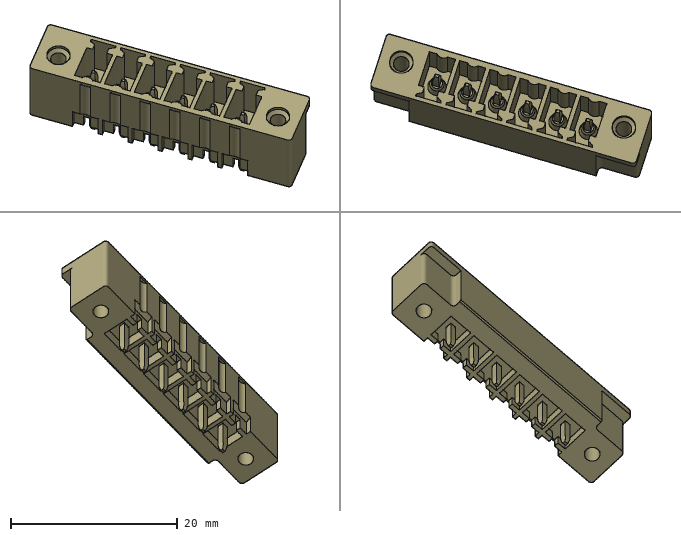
import cadquery as cq
import math


CONTACT_COUNT = 6
PITCH = 3.8
CONTACT_Y = 2.98
CONTACT_X = [(i - (CONTACT_COUNT - 1) / 2) * PITCH for i in range(CONTACT_COUNT)]

LENGTH = 33.45
DEPTH = 7.05
HEIGHT = 9.2
CORNER_RADIUS = 0.45

FLANGE_THICKNESS = 1.27
RELIEF_DEPTH = 1.27
RELIEF_RADIUS = 0.5
REAR_HALF_WIDTH = 11.77
REAR_CHAMFER = 0.2

POCKET_WIDTH = 3.28
POCKET_FLOOR = 3.68
FRONT_WALL = 0.75
REAR_WALL = 0.5
SHOULDER_Y = 5.2
NECK_WIDTH = 1.8
NECK_END_Y = 5.92
KEY_WIDTH = 3.15
KEY_START_Y = 6.32
POST_RADIUS = 0.07

GROOVE_WIDTH = 1.35
GROOVE_DEPTH = 0.3
GROOVE_TOP_GAP = 0.5

NOTCH_WIDTH = 3.28
NOTCH_DEPTH = 0.65
NOTCH_FRONT_HEIGHT = 2.9
NOTCH_REAR_HEIGHT = 2.37
SLOT_WIDTH = 0.9
SLOT_HEIGHT = 1.7
SLOT_WALL = 0.6

COLLAR_BASE_RADIUS = 1.1
COLLAR_SHOULDER_RADIUS = 0.87
COLLAR_TOP_RADIUS = 0.67
COLLAR_SHOULDER_HEIGHT = 1.0
COLLAR_HEIGHT = 1.35

SCREW_X = 14.0
SCREW_RADIUS = 0.95
COUNTERBORE_RADIUS = 1.4
COUNTERBORE_DEPTH = 0.4
COUNTERSINK_DEPTH = 0.37

PIN_WIDTH = 0.8
PIN_BOTTOM = -3.2
PIN_TOP = 7.83
TIP_WIDTH = 0.45
TIP_DEPTH = 0.35
TIP_LENGTH = 1.15


def box(x_min, x_max, y_min, y_max, z_min, z_max):
    """Block between the given limits."""
    size = (x_max - x_min, y_max - y_min, z_max - z_min)
    return cq.Workplane("XY").box(*size, centered=False).translate((x_min, y_min, z_min))


def arched_bar(x, y, z_min, z_max):
    """Upright bar, flat on its front face at y and arched toward the rear."""
    half = GROOVE_WIDTH / 2
    return (
        cq.Workplane("XY", origin=(x, y, z_min))
        .moveTo(-half, 0)
        .threePointArc((0, GROOVE_DEPTH), (half, 0))
        .close()
        .extrude(z_max - z_min)
    )


def housing_block():
    """Outer block with rounded upright corners, reliefs and a chamfered lower rear edge."""
    block = box(-LENGTH / 2, LENGTH / 2, 0, DEPTH, 0, HEIGHT)
    block = block.edges("|Z").fillet(CORNER_RADIUS)
    for side in (-1, 1):
        block = block.cut(end_relief(side))
    return block.faces("<Z").edges(">Y").chamfer(REAR_CHAMFER)


def end_relief(side):
    """Space behind one end, blended into the end wall and the rear section."""
    rear_face = DEPTH - RELIEF_DEPTH
    outer = LENGTH / 2
    radius = RELIEF_RADIUS
    bend = radius * math.sqrt(0.5)
    beyond = LENGTH / 2 + radius
    relief = (
        cq.Workplane("XY")
        .moveTo(REAR_HALF_WIDTH, DEPTH + radius)
        .lineTo(REAR_HALF_WIDTH, rear_face + radius)
        .threePointArc(
            (REAR_HALF_WIDTH + radius - bend, rear_face + radius - bend),
            (REAR_HALF_WIDTH + radius, rear_face),
        )
        .lineTo(outer - radius, rear_face)
        .threePointArc(
            (outer - radius + bend, rear_face - radius + bend),
            (outer, rear_face - radius),
        )
        .lineTo(beyond, rear_face - radius)
        .lineTo(beyond, DEPTH + radius)
        .close()
        .extrude(HEIGHT - FLANGE_THICKNESS)
    )
    return relief if side > 0 else relief.mirror("YZ")


def pocket(x):
    """Plug pocket: a wide front part, a neck, and a flared key space at the rear."""
    key_rear = DEPTH - REAR_WALL
    right_side = [
        (POCKET_WIDTH / 2, FRONT_WALL),
        (POCKET_WIDTH / 2, SHOULDER_Y),
        (NECK_WIDTH / 2, SHOULDER_Y),
        (NECK_WIDTH / 2, NECK_END_Y),
        (KEY_WIDTH / 2, KEY_START_Y),
        (KEY_WIDTH / 2, key_rear),
    ]
    left_side = [(-px, py) for px, py in reversed(right_side)]
    space = (
        cq.Workplane("XY", origin=(0, 0, POCKET_FLOOR))
        .polyline(right_side + left_side)
        .close()
        .extrude(HEIGHT - POCKET_FLOOR)
    )
    neck_edges = cq.selectors.BoxSelector(
        (-NECK_WIDTH, SHOULDER_Y - POST_RADIUS, 0),
        (NECK_WIDTH, NECK_END_Y + POST_RADIUS, 2 * HEIGHT),
    )
    space = space.edges("|Z").edges(neck_edges).fillet(POST_RADIUS)
    space = space.translate((x, 0, 0))
    return space.cut(arched_bar(x, FRONT_WALL, POCKET_FLOOR, HEIGHT))


def collar(x):
    """Tapered collar that surrounds a pin on the pocket floor."""
    return (
        cq.Workplane("XZ")
        .polyline(
            [
                (0, 0),
                (COLLAR_BASE_RADIUS, 0),
                (COLLAR_SHOULDER_RADIUS, COLLAR_SHOULDER_HEIGHT),
                (COLLAR_TOP_RADIUS, COLLAR_HEIGHT),
                (0, COLLAR_HEIGHT),
            ]
        )
        .close()
        .revolve(360, (0, 0), (0, 1))
        .translate((x, CONTACT_Y, POCKET_FLOOR))
    )


def solder_notch(x):
    """Notch in the lower front edge, with a ceiling that slopes down to the rear."""
    return (
        cq.Workplane("YZ", origin=(x - NOTCH_WIDTH / 2, 0, 0))
        .polyline([(0, 0), (NOTCH_DEPTH, 0), (NOTCH_DEPTH, NOTCH_REAR_HEIGHT), (0, NOTCH_FRONT_HEIGHT)])
        .close()
        .extrude(NOTCH_WIDTH)
    )


def pin_slot(x):
    """Slot through the notch wall into a wider cavity, open below, around the pin."""
    half_slot = SLOT_WIDTH / 2
    half_cavity = NOTCH_WIDTH / 2
    cavity_front = NOTCH_DEPTH + SLOT_WALL
    cavity_rear = 2 * CONTACT_Y - cavity_front
    slot = box(x - half_slot, x + half_slot, 0, cavity_front, 0, SLOT_HEIGHT)
    cavity = box(x - half_cavity, x + half_cavity, cavity_front, cavity_rear, 0, SLOT_HEIGHT)
    return slot.union(cavity)


def pin_hole(x):
    """Square hole that holds the pin."""
    half = PIN_WIDTH / 2
    return box(x - half, x + half, CONTACT_Y - half, CONTACT_Y + half, 0, HEIGHT)


def screw_hole(x):
    """Through hole with a counterbore and a conical seat at the top."""
    seat_top = HEIGHT - COUNTERBORE_DEPTH
    return (
        cq.Workplane("XZ")
        .polyline(
            [
                (0, 0),
                (SCREW_RADIUS, 0),
                (SCREW_RADIUS, seat_top - COUNTERSINK_DEPTH),
                (COUNTERBORE_RADIUS, seat_top),
                (COUNTERBORE_RADIUS, HEIGHT),
                (0, HEIGHT),
            ]
        )
        .close()
        .revolve(360, (0, 0), (0, 1))
        .translate((x, CONTACT_Y, 0))
    )


def make_housing():
    """Housing with a pocket, groove, notch and pin passage for each contact."""
    body = housing_block()
    for side in (-1, 1):
        body = body.cut(screw_hole(side * SCREW_X))
    for x in CONTACT_X:
        body = body.cut(pocket(x))
        body = body.union(collar(x))
        body = body.cut(arched_bar(x, 0, 0, HEIGHT - GROOVE_TOP_GAP))
        body = body.cut(solder_notch(x))
        body = body.cut(pin_slot(x))
        body = body.cut(pin_hole(x))
    return body


def pin_tip():
    """Upright tip above z = 0, with flat tapered sides and a curved front and rear."""
    half = PIN_WIDTH / 2
    half_end_x = TIP_WIDTH / 2
    half_end_y = TIP_DEPTH / 2
    sides = (
        cq.Workplane("XZ", origin=(0, half, 0))
        .polyline([(-half, 0), (half, 0), (half_end_x, TIP_LENGTH), (-half_end_x, TIP_LENGTH)])
        .close()
        .extrude(PIN_WIDTH)
    )
    inset = half - half_end_y
    radius = (TIP_LENGTH**2 + inset**2) / (2 * inset)
    half_angle = math.asin(TIP_LENGTH / radius) / 2
    middle_y = half - radius * (1 - math.cos(half_angle))
    middle_z = radius * math.sin(half_angle)
    front_and_rear = (
        cq.Workplane("YZ", origin=(-half, 0, 0))
        .moveTo(-half, 0)
        .lineTo(half, 0)
        .threePointArc((middle_y, middle_z), (half_end_y, TIP_LENGTH))
        .lineTo(-half_end_y, TIP_LENGTH)
        .threePointArc((-middle_y, middle_z), (-half, 0))
        .close()
        .extrude(PIN_WIDTH)
    )
    return sides.intersect(front_and_rear)


def make_pin(x):
    """Straight square pin with the same tip at both ends."""
    half = PIN_WIDTH / 2
    shank_bottom = PIN_BOTTOM + TIP_LENGTH
    shank_top = PIN_TOP - TIP_LENGTH
    tip = pin_tip()
    pin = box(-half, half, -half, half, shank_bottom, shank_top)
    pin = pin.union(tip.translate((0, 0, shank_top)))
    pin = pin.union(tip.mirror("XY").translate((0, 0, shank_bottom)))
    return pin.translate((x, CONTACT_Y, 0))


housing = make_housing()
pins = [make_pin(x).val() for x in CONTACT_X]

result = cq.Compound.makeCompound([housing.val(), *pins])